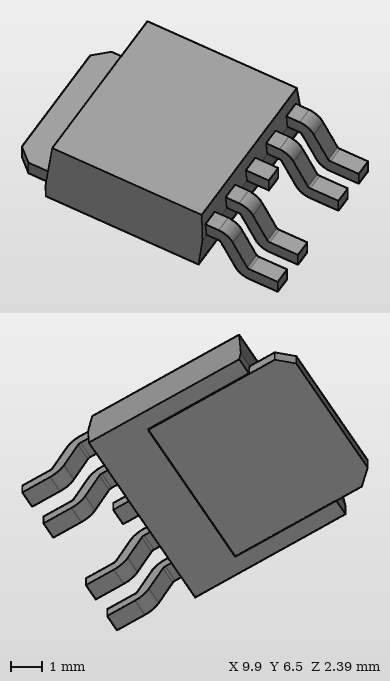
import cadquery as cq
import math

LENGTH = 9.9
HEIGHT = 2.39

BODY_BOTTOM = 0.09
BODY_TOP_LEFT = 1.62
BODY_WIDEST_LEFT = 1.47
BODY_BOTTOM_LEFT = 1.49
BODY_BOTTOM_RIGHT = 7.17
BODY_TOP_RIGHT = BODY_BOTTOM_RIGHT
BODY_WIDEST_RIGHT = 7.26
BODY_WIDTH = 6.5
BODY_TOP_WIDTH = 6.1

TAB_BOTTOM = 0.03
TAB_TOP = 0.57
TAB_WIDTH = 5.33
TAB_END = 5.3
TAB_CHAMFER_X = 0.51
TAB_CHAMFER_Y = 0.48

LEAD_THICKNESS = 0.5
LEAD_WIDTH = 0.6
LEAD_PITCH = 1.3
LEAD_TOP = 1.78
LEAD_BOTTOM = LEAD_TOP - LEAD_THICKNESS
LEAD_ROOT = 6.93
LEAD_SLOPE = math.radians(60)
BEND_RADIUS = 0.1
KNEE_X = 7.7
STUB_END = 8.07
BENT_LEAD_POSITIONS = (-2, -1, 1, 2)


def make_body():
    """Moulded block: side profile along X trimmed by a tapered end profile along Y."""
    side = (
        cq.Workplane("XZ")
        .polyline([
            (BODY_BOTTOM_LEFT, BODY_BOTTOM),
            (BODY_WIDEST_LEFT, TAB_TOP),
            (BODY_TOP_LEFT, HEIGHT),
            (BODY_TOP_RIGHT, HEIGHT),
            (BODY_WIDEST_RIGHT, LEAD_BOTTOM),
            (BODY_BOTTOM_RIGHT, BODY_BOTTOM),
        ])
        .close()
        .extrude(BODY_WIDTH / 2, both=True)
    )
    end = (
        cq.Workplane("YZ")
        .polyline([
            (-BODY_WIDTH / 2, BODY_BOTTOM),
            (BODY_WIDTH / 2, BODY_BOTTOM),
            (BODY_TOP_WIDTH / 2, HEIGHT),
            (-BODY_TOP_WIDTH / 2, HEIGHT),
        ])
        .close()
        .extrude(LENGTH)
    )
    return side.intersect(end)


def make_tab():
    """Flat tab with two clipped outer corners, running under the body."""
    half_width = TAB_WIDTH / 2
    half_tip = half_width - TAB_CHAMFER_Y
    return (
        cq.Workplane("XY", origin=(0, 0, TAB_BOTTOM))
        .polyline([
            (0, -half_tip),
            (TAB_CHAMFER_X, -half_width),
            (TAB_END, -half_width),
            (TAB_END, half_width),
            (TAB_CHAMFER_X, half_width),
            (0, half_tip),
        ])
        .close()
        .extrude(TAB_TOP - TAB_BOTTOM)
    )


def bend_point(centre, radius, angle):
    """Point on a bend arc, with the angle measured from +Z towards +X."""
    return (
        centre[0] + radius * math.sin(angle),
        centre[1] + radius * math.cos(angle),
    )


def make_bent_lead(y):
    """Gull-wing lead of constant thickness, bent down at the knee and level again at the ankle."""
    outer_radius = BEND_RADIUS + LEAD_THICKNESS
    knee_z = LEAD_BOTTOM - BEND_RADIUS
    ankle_z = outer_radius
    normal_gap = outer_radius + BEND_RADIUS
    ankle_x = KNEE_X + (
        normal_gap + (knee_z - ankle_z) * math.cos(LEAD_SLOPE)
    ) / math.sin(LEAD_SLOPE)

    def knee(radius, angle):
        return bend_point((KNEE_X, knee_z), radius, angle)

    def ankle(radius, angle):
        return bend_point((ankle_x, ankle_z), -radius, angle)

    half_slope = LEAD_SLOPE / 2
    return (
        cq.Workplane("XZ", origin=(0, y, 0))
        .moveTo(LEAD_ROOT, LEAD_TOP)
        .lineTo(*knee(outer_radius, 0))
        .threePointArc(knee(outer_radius, half_slope), knee(outer_radius, LEAD_SLOPE))
        .lineTo(*ankle(BEND_RADIUS, LEAD_SLOPE))
        .threePointArc(ankle(BEND_RADIUS, half_slope), ankle(BEND_RADIUS, 0))
        .lineTo(LENGTH, LEAD_THICKNESS)
        .lineTo(LENGTH, 0)
        .lineTo(*ankle(outer_radius, 0))
        .threePointArc(ankle(outer_radius, half_slope), ankle(outer_radius, LEAD_SLOPE))
        .lineTo(*knee(BEND_RADIUS, LEAD_SLOPE))
        .threePointArc(knee(BEND_RADIUS, half_slope), knee(BEND_RADIUS, 0))
        .lineTo(LEAD_ROOT, LEAD_BOTTOM)
        .close()
        .extrude(LEAD_WIDTH / 2, both=True)
    )


def make_stub_lead():
    """Straight, cropped centre lead."""
    return cq.Workplane("XY", origin=(LEAD_ROOT, 0, LEAD_BOTTOM)).box(
        STUB_END - LEAD_ROOT, LEAD_WIDTH, LEAD_THICKNESS, centered=(False, True, False)
    )


result = make_body().union(make_tab()).union(make_stub_lead())
for position in BENT_LEAD_POSITIONS:
    result = result.union(make_bent_lead(position * LEAD_PITCH))